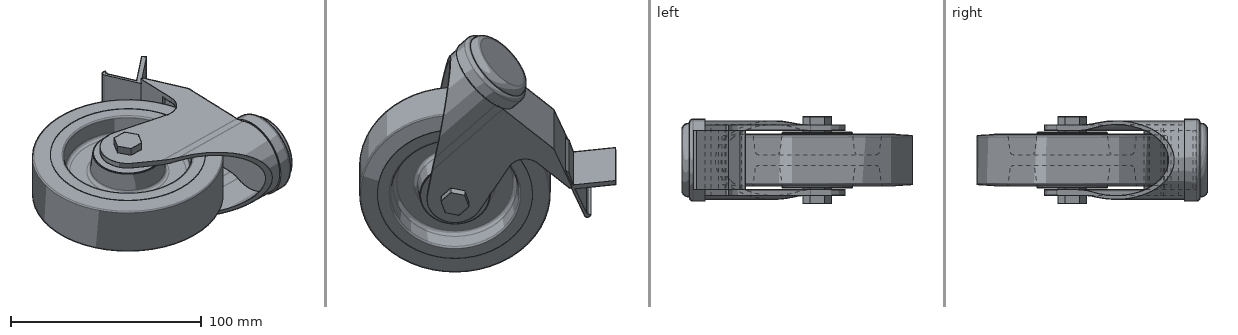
import cadquery as cq
import math


WHEEL_RADIUS = 50.0
TREAD_HALF_WIDTH = 12.9
TREAD_EDGE_ROUND = 0.7
RIM_RADIUS = 81.25 / 2
RIM_HALF_WIDTH = 13.6
RIM_STEP = 0.15
RECESS_MOUTH_RADIUS = 33.6
RECESS_MOUTH_ROUND = 0.9
RECESS_BASE_RADIUS = 32.6
RECESS_BASE_ROUND = 2.1
WEB_HALF_WIDTH = 2.75
HUB_HALF_WIDTH = 14.7
HUB_TOP_RADIUS = 18.4
HUB_TOP_CHAMFER = 0.4
HUB_BASE_RADIUS = 19.6
HUB_FOOT_RADIUS = 43.0 / 2

SPACER_DIAMETER = 13.0
HEX_ACROSS_FLATS = 13.0
AXLE_LENGTH = 45.6

FORK_INNER_HALF_WIDTH = 15.5
ARM_THICKNESS = 3.0
FORK_OUTER_HALF_WIDTH = FORK_INNER_HALF_WIDTH + ARM_THICKNESS
FORK_TOP = 58.75
TOP_PLATE_THICKNESS = 3.0
AXLE_END_RADIUS = 14.6
TAIL_X = -39.0
TAIL_BOTTOM = 46.4
TAIL_EDGE_HEIGHT = 1.4
SLOPE_TOP_X = -15.7
NOTCH_RADIUS = 9.5
NOTCH_X = -15.7
BRIDGE_END_X = -22.6
BRIDGE_THICKNESS = 2.0
SHELL_RADIUS = 20.6
SHELL_INNER_RADIUS = 18.6
SHELL_BLEND_RADIUS = 14.0
SHELL_INNER_BLEND_RADIUS = 13.0
SHELL_EDGE_HEIGHT = 5.3

HEAD_X = 33.0
HEAD_RADIUS = 43.0 / 2
HEAD_TOP = 71.0
HEAD_SHOULDER_ROUND = 2.0
DOME_BASE = 67.0
DOME_BASE_RADIUS = 19.3
DOME_ROUND = 3.6

OVERALL_LENGTH = 114.55
PEDAL_LEFT_X = HEAD_X + HEAD_RADIUS - OVERALL_LENGTH
PEDAL_ANGLE = 25.0
PEDAL_THICKNESS = 1.6
PEDAL_TOE_X = -57.8
PEDAL_TOE_Y = 37.7
CURL_END_ANGLE = 165.0
CURL_TIP_LENGTH = 1.1
CURL_FILL_LENGTH = 1.5
PEDAL_LENGTH = 28.3
CREST_HEIGHT = 51.7
CREST_FOOT_X = -41.3
CREST_FOOT_Y = 47.2
CREST_START_X = -33.4
CREST_END_X = -29.0
RELEASE_ANGLE = 129.5
RELEASE_THICKNESS = 2.6
RELEASE_FOOT_X = -40.8
RELEASE_FOOT_Y = 46.6
RELEASE_LENGTH = 22.7


def polar(length, angle):
    """Vector of the given length at an angle in degrees from +X."""
    return (length * math.cos(math.radians(angle)), length * math.sin(math.radians(angle)))


def shifted(point, vector):
    return (point[0] + vector[0], point[1] + vector[1])


def symmetric_prism(sketch, half_width):
    """Extrude an XY outline evenly to both sides of Z = 0."""
    return sketch.extrude(half_width, both=True)


def make_wheel():
    """Plain disc, with the space above and below the wheel faces turned away."""
    blank = symmetric_prism(cq.Workplane("XY").circle(WHEEL_RADIUS), HUB_HALF_WIDTH)
    waste = (
        cq.Workplane("XZ")
        .moveTo(HUB_TOP_RADIUS - HUB_TOP_CHAMFER, HUB_HALF_WIDTH)
        .lineTo(HUB_TOP_RADIUS, HUB_HALF_WIDTH - HUB_TOP_CHAMFER)
        .lineTo(HUB_BASE_RADIUS, WEB_HALF_WIDTH + HUB_FOOT_RADIUS - HUB_BASE_RADIUS)
        .tangentArcPoint((HUB_FOOT_RADIUS, WEB_HALF_WIDTH), relative=False)
        .lineTo(RECESS_BASE_RADIUS - RECESS_BASE_ROUND, WEB_HALF_WIDTH)
        .tangentArcPoint((RECESS_BASE_RADIUS, WEB_HALF_WIDTH + RECESS_BASE_ROUND), relative=False)
        .lineTo(RECESS_MOUTH_RADIUS, RIM_HALF_WIDTH - RECESS_MOUTH_ROUND)
        .tangentArcPoint((RECESS_MOUTH_RADIUS + RECESS_MOUTH_ROUND, RIM_HALF_WIDTH), relative=False)
        .lineTo(RIM_RADIUS, RIM_HALF_WIDTH)
        .lineTo(RIM_RADIUS, RIM_HALF_WIDTH - RIM_STEP)
        .lineTo(WHEEL_RADIUS - TREAD_EDGE_ROUND, TREAD_HALF_WIDTH)
        .tangentArcPoint((WHEEL_RADIUS, TREAD_HALF_WIDTH - TREAD_EDGE_ROUND), relative=False)
        .lineTo(WHEEL_RADIUS, HUB_HALF_WIDTH)
        .close()
        .revolve(360, (0, 0, 0), (0, 1, 0))
    )
    return blank.cut(waste).cut(waste.mirror("XY"))


def make_axle():
    """Spacer through the hub and a hexagonal bolt end outside each arm."""
    spacer = symmetric_prism(cq.Workplane("XY").circle(SPACER_DIAMETER / 2), FORK_OUTER_HALF_WIDTH)
    across_corners = HEX_ACROSS_FLATS / math.cos(math.pi / 6)
    hexagon = cq.Workplane("XY").transformed(rotate=(0, 0, 90)).polygon(6, across_corners)
    return spacer.union(symmetric_prism(hexagon, AXLE_LENGTH / 2))


def fork_side_outline():
    """Outline of a fork arm in the XY plane."""
    notch = (NOTCH_X, TAIL_BOTTOM - NOTCH_RADIUS)

    center_distance = math.hypot(*notch)
    toward_notch = math.degrees(math.atan2(notch[1], notch[0]))
    tangent_turn = math.degrees(math.acos((AXLE_END_RADIUS + NOTCH_RADIUS) / center_distance))
    rear_angle = toward_notch + tangent_turn
    rear_low = polar(AXLE_END_RADIUS, rear_angle)
    rear_high = shifted(notch, polar(-NOTCH_RADIUS, rear_angle))
    notch_middle = shifted(notch, polar(NOTCH_RADIUS, 45))

    front_corner = (HEAD_X + SHELL_RADIUS, FORK_TOP - SHELL_EDGE_HEIGHT)
    toward_corner = math.degrees(math.atan2(front_corner[1], front_corner[0]))
    corner_distance = math.hypot(*front_corner)
    front_angle = toward_corner - math.degrees(math.acos(AXLE_END_RADIUS / corner_distance))
    front_low = polar(AXLE_END_RADIUS, front_angle)

    return (
        cq.Workplane("XY")
        .moveTo(TAIL_X, TAIL_BOTTOM)
        .lineTo(NOTCH_X, TAIL_BOTTOM)
        .threePointArc(notch_middle, rear_high)
        .lineTo(*rear_low)
        .threePointArc((0, -AXLE_END_RADIUS), front_low)
        .lineTo(*front_corner)
        .lineTo(front_corner[0], FORK_TOP)
        .lineTo(SLOPE_TOP_X, FORK_TOP)
        .lineTo(TAIL_X, TAIL_BOTTOM + TAIL_EDGE_HEIGHT)
        .close()
    )


def keyhole_prism(half_width, round_radius, blend_radius, bottom, top):
    """Upright prism with flat sides that blend into a cylinder about the swivel axis."""
    blend_z = half_width + blend_radius
    center_distance = round_radius + blend_radius
    blend_x = HEAD_X - math.sqrt(center_distance**2 - blend_z**2)
    blend_turn = math.degrees(math.atan2(HEAD_X - blend_x, blend_z))

    blend_middle = shifted((blend_x, blend_z), polar(blend_radius, -90 + blend_turn / 2))
    blend_end = shifted((blend_x, blend_z), polar(blend_radius, -90 + blend_turn))

    def opposite(point):
        return (point[0], -point[1])

    return (
        cq.Workplane("XZ", origin=(0, top, 0))
        .moveTo(TAIL_X, half_width)
        .lineTo(blend_x, half_width)
        .threePointArc(blend_middle, blend_end)
        .threePointArc((HEAD_X + round_radius, 0), opposite(blend_end))
        .threePointArc(opposite(blend_middle), (blend_x, -half_width))
        .lineTo(TAIL_X, -half_width)
        .close()
        .extrude(top - bottom)
    )


def make_fork():
    """Two arms joined by the shell, the top plate, its slope and the bridge under the tail."""
    body = keyhole_prism(
        FORK_OUTER_HALF_WIDTH, SHELL_RADIUS, SHELL_BLEND_RADIUS, -AXLE_END_RADIUS, FORK_TOP
    )
    cavity = keyhole_prism(
        FORK_INNER_HALF_WIDTH,
        SHELL_INNER_RADIUS,
        SHELL_INNER_BLEND_RADIUS,
        -AXLE_END_RADIUS,
        FORK_TOP - TOP_PLATE_THICKNESS,
    )
    bridge = (
        cq.Workplane("XY")
        .box(
            BRIDGE_END_X - TAIL_X,
            BRIDGE_THICKNESS,
            2 * FORK_INNER_HALF_WIDTH,
            centered=(False, False, True),
        )
        .translate((TAIL_X, TAIL_BOTTOM, 0))
    )
    slope_plate = (
        cq.Workplane("XY")
        .moveTo(SLOPE_TOP_X, FORK_TOP)
        .lineTo(TAIL_X, TAIL_BOTTOM + TAIL_EDGE_HEIGHT)
        .line(0, -TOP_PLATE_THICKNESS)
        .lineTo(SLOPE_TOP_X, FORK_TOP - TOP_PLATE_THICKNESS)
        .close()
    )
    slope_roof = symmetric_prism(slope_plate, FORK_INNER_HALF_WIDTH)
    side = symmetric_prism(fork_side_outline(), FORK_OUTER_HALF_WIDTH + SHELL_RADIUS)
    return body.cut(cavity).union(bridge).union(slope_roof).intersect(side)


def make_head():
    """Swivel head: a collar with a rounded shoulder and a domed cap."""
    shoulder = DOME_BASE - HEAD_SHOULDER_ROUND
    diagonal = math.sqrt(0.5)
    dome_center = (DOME_BASE_RADIUS - DOME_ROUND, HEAD_TOP - DOME_ROUND)
    return (
        cq.Workplane("XY")
        .moveTo(0, FORK_TOP)
        .lineTo(HEAD_RADIUS, FORK_TOP)
        .lineTo(HEAD_RADIUS, shoulder)
        .tangentArcPoint((HEAD_RADIUS - HEAD_SHOULDER_ROUND, DOME_BASE), relative=False)
        .lineTo(DOME_BASE_RADIUS, DOME_BASE)
        .lineTo(DOME_BASE_RADIUS, dome_center[1])
        .threePointArc(
            shifted(dome_center, (DOME_ROUND * diagonal, DOME_ROUND * diagonal)),
            (dome_center[0], HEAD_TOP),
        )
        .lineTo(0, HEAD_TOP)
        .close()
        .revolve(360, (0, 0, 0), (0, 1, 0))
        .translate((HEAD_X, 0, 0))
    )


def make_pedal():
    """Brake pedal: a lower plate with a curled toe and an upper release plate."""
    toe = (PEDAL_TOE_X, PEDAL_TOE_Y)
    along = polar(PEDAL_LENGTH, PEDAL_ANGLE)
    across = polar(PEDAL_THICKNESS, PEDAL_ANGLE + 90)
    toe_top = shifted(toe, across)
    lower_end = shifted(toe, along)
    lower_plate = (
        cq.Workplane("XY")
        .polyline([toe, lower_end, shifted(lower_end, across), toe_top])
        .close()
    )
    curl_radius = (PEDAL_TOE_X - PEDAL_LEFT_X) / (1 + math.sin(math.radians(PEDAL_ANGLE)))
    curl_center = shifted(toe, polar(curl_radius, PEDAL_ANGLE + 90))
    curl_end = shifted(curl_center, polar(curl_radius, CURL_END_ANGLE))
    curl_tip = shifted(curl_end, polar(CURL_TIP_LENGTH, CURL_END_ANGLE - 90))
    fill_end = shifted(toe_top, polar(CURL_FILL_LENGTH, PEDAL_ANGLE))
    curl_start = shifted(toe, polar(CURL_FILL_LENGTH, PEDAL_ANGLE))
    curl = (
        cq.Workplane("XY")
        .moveTo(*curl_start)
        .lineTo(*toe)
        .threePointArc((PEDAL_LEFT_X, curl_center[1]), curl_end)
        .lineTo(*curl_tip)
        .lineTo(toe_top[0], fill_end[1])
        .lineTo(*fill_end)
        .close()
    )
    crest_foot = (CREST_FOOT_X, CREST_FOOT_Y)
    crest = (
        cq.Workplane("XY")
        .polyline([crest_foot, (CREST_START_X, CREST_HEIGHT), (CREST_END_X, CREST_HEIGHT), lower_end])
        .close()
    )
    foot = (RELEASE_FOOT_X, RELEASE_FOOT_Y)
    half_across = polar(RELEASE_THICKNESS / 2, RELEASE_ANGLE + 90)
    other_half = polar(-RELEASE_THICKNESS / 2, RELEASE_ANGLE + 90)
    release_end = shifted(foot, polar(RELEASE_LENGTH, RELEASE_ANGLE))
    release_plate = (
        cq.Workplane("XY")
        .polyline(
            [
                shifted(foot, half_across),
                shifted(foot, other_half),
                shifted(release_end, other_half),
                shifted(release_end, half_across),
            ]
        )
        .close()
    )
    pedal = symmetric_prism(lower_plate, FORK_INNER_HALF_WIDTH)
    for outline in (curl, crest, release_plate):
        pedal = pedal.union(symmetric_prism(outline, FORK_INNER_HALF_WIDTH))
    return pedal


result = make_wheel()
for piece in (make_axle(), make_fork(), make_head(), make_pedal()):
    result = result.union(piece)